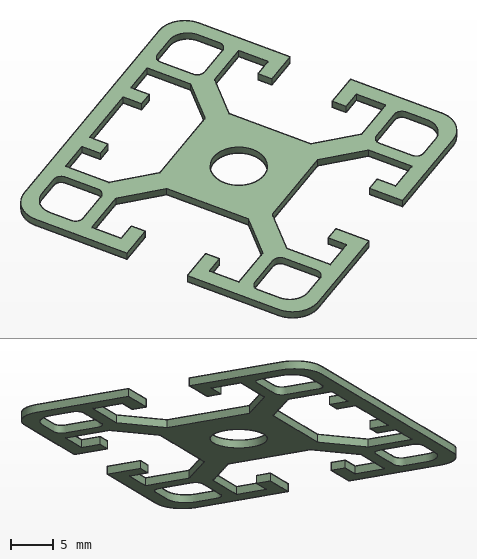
import cadquery as cq

SIDE = 40.0
THICKNESS = 1.0
CORNER_RADIUS = 3.5
WALL = 2.0

CORE_HALF = 7.65
BORE_DIAMETER = 6.8

OPENING_WIDTH = 8.2
LIP_WIDTH = 1.9
LIP_DEPTH = 4.5
CAVITY_HALF = 10.0
FLOOR_HALF = 5.55

POCKET_WALL = 1.9
POCKET_RIB = 1.7
POCKET_OUTER_RADIUS = 2.5
POCKET_INNER_RADIUS = 1.0

HALF = SIDE / 2
OPENING_HALF = OPENING_WIDTH / 2
LIP_OUTER_HALF = OPENING_HALF + LIP_WIDTH
WALL_INNER = HALF - WALL
LIP_END = HALF - LIP_DEPTH
CHAMFER_START = CORE_HALF + CAVITY_HALF - FLOOR_HALF
POCKET_START = CAVITY_HALF + POCKET_RIB
POCKET_END = HALF - POCKET_WALL
POCKET_SIDE = POCKET_END - POCKET_START
POCKET_CENTER = (POCKET_START + POCKET_END) / 2

SLOT_ANGLES = (0, 90, 180, 270)
CLOSED_SLOT_ANGLE = 90


def slot_cutter(mouth_end):
    """T-slot on the +Y side, with its opening reaching out to y = mouth_end."""
    right_side = [
        (FLOOR_HALF, CORE_HALF),
        (CAVITY_HALF, CHAMFER_START),
        (CAVITY_HALF, WALL_INNER),
        (LIP_OUTER_HALF, WALL_INNER),
        (LIP_OUTER_HALF, LIP_END),
        (OPENING_HALF, LIP_END),
        (OPENING_HALF, mouth_end),
    ]
    left_side = [(-x, y) for x, y in reversed(right_side)]
    return cq.Workplane("XY").polyline(right_side + left_side).close().extrude(THICKNESS)


def corner_pocket():
    """Rounded square pocket in the +X +Y corner, with a larger radius at the outer corner."""
    block = cq.Workplane("XY").rect(POCKET_SIDE, POCKET_SIDE).extrude(THICKNESS)
    block = block.edges("|Z and (>X and >Y)").fillet(POCKET_OUTER_RADIUS)
    block = block.edges("|Z and (<X or <Y)").fillet(POCKET_INNER_RADIUS)
    return block.translate((POCKET_CENTER, POCKET_CENTER, 0))


def turn(body, angle):
    """Rotate a body about the plate's central axis."""
    return body.rotate((0, 0, 0), (0, 0, 1), angle)


plate = cq.Workplane("XY").rect(SIDE, SIDE).extrude(THICKNESS)
plate = plate.edges("|Z").fillet(CORNER_RADIUS)
plate = plate.faces(">Z").workplane().hole(BORE_DIAMETER)

for angle in SLOT_ANGLES:
    mouth_end = WALL_INNER if angle == CLOSED_SLOT_ANGLE else HALF
    plate = plate.cut(turn(slot_cutter(mouth_end), angle))
    plate = plate.cut(turn(corner_pocket(), angle))

result = plate